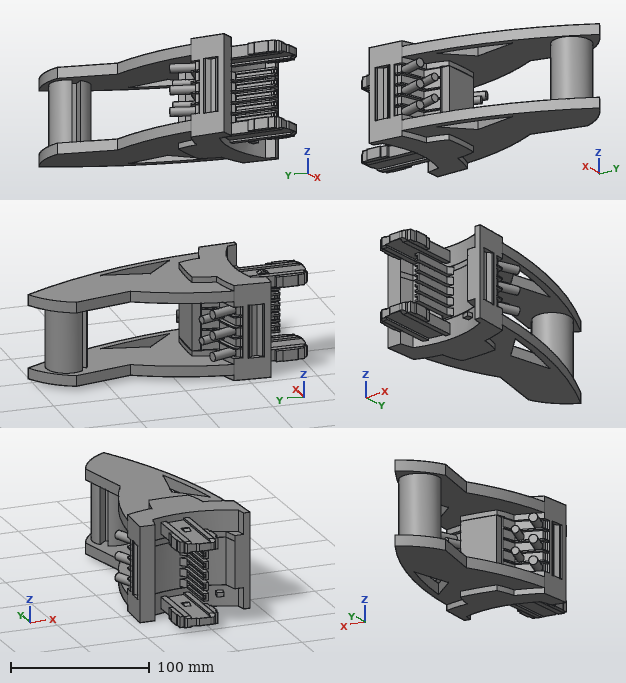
import cadquery as cq
import math


HOUSING_HEIGHT = 73.5
FRONT_HALF_WIDTH = 42.9
SHOULDER_HALF_WIDTH = 41.2
SHOULDER_Y = 27.7
SHOULDER_BULGE = 0.6
BOSS_BASE_X, BOSS_BASE_Y = 19.8, 34.1
BOSS_TOP_X, BOSS_TOP_Y = 15.4, 51.2
BOSS_CROWN_Y = 51.8
BOSS_FLANK_MID = (18.0, 42.9)
MID_BOSS_HALF_WIDTH, MID_BOSS_FLANK_Y, MID_BOSS_TOP_Y = 15.2, 44.5, 51.2

ARCH_CROWN_Y = 16.2
ARCH_EDGE_X, ARCH_EDGE_Y = 28.3, 11.0
ARCH_RISE = ARCH_CROWN_Y - ARCH_EDGE_Y
ARCH_RADIUS = (ARCH_EDGE_X**2 + ARCH_RISE**2) / (2 * ARCH_RISE)
CAVITY_MOUTH_X = 31.0
WIDE_MOUTH_X = 37.9
WIDE_EDGE_X = 36.6
MID_HALF_HEIGHT = 20.4
LINER_TOP = 16.0
LINER_STEP = 0.2

PLATE_THICKNESS = 8.3
PLATE_Z = 28.3
CLAW_TIP = (-2.3, 171.2)
CLAW_NOSE_MID = (-18.0, 158.7)
CLAW_NOSE_END = (-27.9, 143.0)
CLAW_ELBOW = (-18.5, 98.8)
CLAW_BELLY_MID = (-33.0, 64.7)
CLAW_BACK_MID = (28.3, 98.8)
OPENING_TIP, OPENING_SIDE, OPENING_FOOT = (19.0, 109.5), (11.5, 73.9), (32.9, 52.6)
OPENING_BACK_MID = (27.0, 81.8)
PLATE_ROOT_HALF_WIDTH, PLATE_ROOT_Y = 31.2, 20.8

POST_X, POST_Y, POST_DIAMETER = -6.7, 143.7, 30.5
POST_GROOVE_WIDTH, POST_GROOVE_DEPTH = 6.2, 9.8
POST_GROOVE_ANGLE = 45

ROW_PITCH = 8.1
ROWS = range(-2, 3)
SLOT_HEIGHT = 7.0
SLOT_OUTLINE = (
    (-45.8, 20.8), (-40.0, 20.8), (-38.7, 22.0), (-38.7, 25.4),
    (-19.0, 31.6), (-16.6, MID_BOSS_FLANK_Y), (-25, 54), (-45.8, 54),
)
PIN_TILT = 20
OUTER_PIN = dict(diameter=6.7, end=(-41.8, 44.0), length=21.8)
INNER_PIN = dict(diameter=5.8, end=(-29.1, 48.3), length=20.8)
CONTACT_HEIGHT = 5.8
CONTACT_WEB = 1.9
CONTACT_FLANGE = 1.5
CONTACT_LEFT, CONTACT_RIGHT, CONTACT_TIP_Y = -1.5, 2.5, -20.2
FLARE_HALF_WIDTH, FLARE_Y = 5.6, 12.0
FLARE_DEPTH = 3.7
CONTACT_ROOT_Y = 18.7
CONTACT_STOP_LEFT, CONTACT_STOP_Y, CONTACT_STOP_LENGTH = -0.5, -17.5, 1.9

RAIL_HEIGHT, RAIL_Z = 8.7, 28.5
WING_HEIGHT = 8.3
RAIL_LEFT, RAIL_RIGHT = -21.2, 1.9
CHANNEL_LEFT, CHANNEL_RIGHT, CHANNEL_DEPTH = -16.6, -2.3, 1.5
RAIL_TIP_Y, RAIL_ROOT_Y = -36.8, 18.7
RAIL_NOSE = (
    (RAIL_LEFT, -33.7), (-19.8, -35.0), (-13.0, -35.2), (-11.2, -36.5),
    (CHANNEL_RIGHT, RAIL_TIP_Y), (0.2, RAIL_TIP_Y), (RAIL_RIGHT, -35.2),
)
RAIL_TIP_CHAMFER = 1.7
STRIP_END_Y = -32.7
LEFT_WING = dict(edge=RAIL_LEFT, side=-1, front=-31.5, back=-10.0, width=3.0, step=0.6)
RIGHT_WING = dict(edge=RAIL_RIGHT, side=1, front=-32.7, back=-11.2, width=3.0, step=1.2)
WING_STEP_INSET = 5.0
CATCH_X, CATCH_WIDTH, CATCH_HEIGHT = -8.7, 4.8, 1.2
CATCH_PROFILE_Y = (-8.5, -5.0, -3.3, -0.6)

WINDOW_FRONT, WINDOW_BACK, RIM_DEPTH = 5.0, 17.0, 1.7
RIM_WIDTH = 1.2
WINDOW_FLOOR_DEPTH = 4.5

STUB_X, STUB_FRONT_Y, STUB_Z = 22.9, 7.7, -26.2
STUB_WIDTH, STUB_HEIGHT, STUB_LENGTH, STUB_TILT = 5.2, 3.3, 10.5, -12


def slab(sketch, bottom, top):
    """Extrude a closed XY outline between two heights."""
    return sketch.extrude(top - bottom).translate((0, 0, bottom))


def block(x_range, y_range, z_range):
    """Axis-aligned box given by its limits."""
    sizes = [high - low for low, high in (x_range, y_range, z_range)]
    corner = (x_range[0], y_range[0], z_range[0])
    return cq.Workplane("XY").box(*sizes, centered=False).translate(corner)


def both_sides(solid):
    return solid.union(solid.mirror("YZ"))


def arch_y(x, crown_y=ARCH_CROWN_Y):
    """Y of the cavity's arched back at a given X."""
    return crown_y - ARCH_RADIUS + math.sqrt(ARCH_RADIUS**2 - x**2)


def cavity_outline(right_edge, right_mouth, crown_y):
    return (
        cq.Workplane("XY")
        .moveTo(-CAVITY_MOUTH_X, 0)
        .lineTo(-ARCH_EDGE_X, arch_y(ARCH_EDGE_X, crown_y))
        .threePointArc((0, crown_y), (right_edge, arch_y(right_edge, crown_y)))
        .lineTo(right_mouth, 0)
        .close()
    )


def make_housing():
    half_height = HOUSING_HEIGHT / 2
    shoulder_mid = (
        (SHOULDER_HALF_WIDTH + BOSS_BASE_X) / 2,
        (SHOULDER_Y + BOSS_BASE_Y) / 2 + SHOULDER_BULGE,
    )
    outline = (
        cq.Workplane("XY")
        .moveTo(-FRONT_HALF_WIDTH, 0)
        .lineTo(-SHOULDER_HALF_WIDTH, SHOULDER_Y)
        .threePointArc((-shoulder_mid[0], shoulder_mid[1]), (-BOSS_BASE_X, BOSS_BASE_Y))
        .threePointArc((-BOSS_FLANK_MID[0], BOSS_FLANK_MID[1]), (-BOSS_TOP_X, BOSS_TOP_Y))
        .threePointArc((0, BOSS_CROWN_Y), (BOSS_TOP_X, BOSS_TOP_Y))
        .threePointArc(BOSS_FLANK_MID, (BOSS_BASE_X, BOSS_BASE_Y))
        .threePointArc(shoulder_mid, (SHOULDER_HALF_WIDTH, SHOULDER_Y))
        .lineTo(FRONT_HALF_WIDTH, 0)
        .close()
    )
    housing = slab(outline, -half_height, half_height)

    wide = (WIDE_EDGE_X, WIDE_MOUTH_X, ARCH_CROWN_Y)
    narrow = (ARCH_EDGE_X, CAVITY_MOUTH_X, ARCH_CROWN_Y - LINER_STEP)
    lined = (ARCH_EDGE_X, CAVITY_MOUTH_X, ARCH_CROWN_Y - 2 * LINER_STEP)
    housing = housing.cut(slab(cavity_outline(*wide), MID_HALF_HEIGHT, half_height))
    housing = housing.cut(slab(cavity_outline(*wide), -half_height, -MID_HALF_HEIGHT))
    housing = housing.cut(slab(cavity_outline(*narrow), LINER_TOP, MID_HALF_HEIGHT))
    return housing.cut(slab(cavity_outline(*lined), -MID_HALF_HEIGHT, LINER_TOP))


def make_pin_slots():
    """Stepped recesses along the shoulders that leave thin ribs between the pin rows."""
    slots = cq.Workplane("XY")
    for row in ROWS:
        z = row * ROW_PITCH
        outline = cq.Workplane("XY").polyline(SLOT_OUTLINE).close()
        slots = slots.add(slab(outline, z - SLOT_HEIGHT / 2, z + SLOT_HEIGHT / 2))
    return both_sides(slots.combine())


def make_windows():
    """Recess in each outer side: a flat rim, then 45-degree walls down to a flat floor."""
    face_x = -FRONT_HALF_WIDTH
    rim_x = face_x + RIM_DEPTH
    floor_x = face_x + WINDOW_FLOOR_DEPTH
    wall_run = WINDOW_FLOOR_DEPTH - RIM_DEPTH
    front, back = WINDOW_FRONT + RIM_WIDTH, WINDOW_BACK - RIM_WIDTH
    outline = cq.Workplane("XY").polyline([
        (face_x, WINDOW_FRONT), (rim_x, WINDOW_FRONT), (rim_x, front), (floor_x, front + wall_run),
        (floor_x, back - wall_run), (rim_x, back), (rim_x, WINDOW_BACK), (face_x, WINDOW_BACK),
    ]).close()
    return both_sides(slab(outline, -MID_HALF_HEIGHT, MID_HALF_HEIGHT))


def make_boss_trims():
    """Square off the boss between the plates: flat flanks and a slightly lower crown."""
    z_range = (-MID_HALF_HEIGHT, MID_HALF_HEIGHT)
    flank = block((MID_BOSS_HALF_WIDTH, BOSS_BASE_X), (MID_BOSS_FLANK_Y, BOSS_CROWN_Y), z_range)
    crown = block((0, BOSS_BASE_X), (MID_BOSS_TOP_Y, BOSS_CROWN_Y), z_range)
    return both_sides(flank.union(crown))


def make_plate():
    outline = (
        cq.Workplane("XY")
        .moveTo(*CLAW_TIP)
        .threePointArc(CLAW_NOSE_MID, CLAW_NOSE_END)
        .lineTo(*CLAW_ELBOW)
        .threePointArc(CLAW_BELLY_MID, (-SHOULDER_HALF_WIDTH, SHOULDER_Y))
        .lineTo(-PLATE_ROOT_HALF_WIDTH, PLATE_ROOT_Y)
        .lineTo(PLATE_ROOT_HALF_WIDTH, PLATE_ROOT_Y)
        .lineTo(SHOULDER_HALF_WIDTH, SHOULDER_Y)
        .threePointArc(CLAW_BACK_MID, CLAW_TIP)
        .close()
    )
    opening = (
        cq.Workplane("XY")
        .moveTo(*OPENING_TIP)
        .lineTo(*OPENING_SIDE)
        .lineTo(*OPENING_FOOT)
        .threePointArc(OPENING_BACK_MID, OPENING_TIP)
        .close()
    )
    half = PLATE_THICKNESS / 2
    return slab(outline, -half, half).cut(slab(opening, -half, half))


def make_post():
    radius = POST_DIAMETER / 2
    post = cq.Workplane("XY").circle(radius).extrude(2 * PLATE_Z)
    groove = block(
        (-radius, POST_GROOVE_DEPTH - radius),
        (-POST_GROOVE_WIDTH / 2, POST_GROOVE_WIDTH / 2),
        (PLATE_THICKNESS / 2, 2 * PLATE_Z - PLATE_THICKNESS / 2),
    )
    groove = groove.rotate((0, 0, 0), (0, 0, 1), POST_GROOVE_ANGLE)
    return post.cut(groove).translate((POST_X, POST_Y, -PLATE_Z))


def make_pins():
    """Tilted round pins on both sides, alternating outer and inner from row to row."""
    tilt = math.radians(PIN_TILT)
    inward = cq.Vector(math.sin(tilt), -math.cos(tilt), 0)
    pins = cq.Workplane("XY")
    for row in ROWS:
        pin = OUTER_PIN if row % 2 == 0 else INNER_PIN
        end = cq.Vector(*pin["end"], row * ROW_PITCH)
        pins = pins.add(cq.Solid.makeCylinder(pin["diameter"] / 2, pin["length"], end, inward))
    return both_sides(pins.combine())


def make_contact():
    """Channel-shaped blade, open toward -X, with a flared root."""
    half = CONTACT_HEIGHT / 2
    inner = half - CONTACT_FLANGE
    blade = block((CONTACT_LEFT, CONTACT_RIGHT), (CONTACT_TIP_Y, CONTACT_ROOT_Y), (-half, half))
    blade = blade.cut(
        block((CONTACT_LEFT, CONTACT_RIGHT - CONTACT_WEB), (CONTACT_TIP_Y, FLARE_Y), (-inner, inner))
    )
    stop_range = (CONTACT_STOP_Y - CONTACT_STOP_LENGTH / 2, CONTACT_STOP_Y + CONTACT_STOP_LENGTH / 2)
    blade = blade.union(block((CONTACT_STOP_LEFT, CONTACT_RIGHT), stop_range, (-inner, inner)))
    flare = cq.Workplane("XY").polyline([
        (CONTACT_LEFT, FLARE_Y),
        (CONTACT_RIGHT, FLARE_Y),
        (FLARE_HALF_WIDTH, FLARE_Y + FLARE_DEPTH),
        (FLARE_HALF_WIDTH, CONTACT_ROOT_Y),
        (-FLARE_HALF_WIDTH, CONTACT_ROOT_Y),
        (-FLARE_HALF_WIDTH, FLARE_Y + FLARE_DEPTH),
    ]).close()
    return blade.union(slab(flare, -half, half))


def make_wing(edge, side, front, back, width, step):
    """Grip along one rail edge, stepped out once more over its middle."""
    half = WING_HEIGHT / 2
    inner_range = sorted((edge, edge + side * width))
    outer_range = sorted((edge, edge + side * (width + step)))
    wing = block(inner_range, (front, back), (-half, half))
    middle = (front + WING_STEP_INSET, back - WING_STEP_INSET)
    return wing.union(block(outer_range, middle, (-half, half)))


def make_rail():
    half = RAIL_HEIGHT / 2
    outline = cq.Workplane("XY").polyline([
        (RAIL_LEFT, RAIL_ROOT_Y), *RAIL_NOSE, (RAIL_RIGHT, RAIL_ROOT_Y),
    ]).close()
    rail = slab(outline, -half, half)

    floor = half - CHANNEL_DEPTH
    for low, high in ((floor, half), (-half, -floor)):
        rail = rail.cut(block((CHANNEL_LEFT, CHANNEL_RIGHT), (RAIL_TIP_Y, RAIL_ROOT_Y), (low, high)))

    slope = (
        cq.Workplane("YZ")
        .polyline([(STRIP_END_Y, half), (RAIL_TIP_Y, half), (RAIL_TIP_Y, half - RAIL_TIP_CHAMFER)])
        .close()
        .extrude(RAIL_RIGHT - RAIL_LEFT)
        .translate((RAIL_LEFT, 0, 0))
    )
    rail = rail.cut(slope).cut(slope.mirror("XY"))

    rail = rail.union(make_wing(**LEFT_WING)).union(make_wing(**RIGHT_WING))

    front, crest_front, crest_back, back = CATCH_PROFILE_Y
    catch = (
        cq.Workplane("YZ")
        .polyline([
            (front, floor), (crest_front, floor + CATCH_HEIGHT),
            (crest_back, floor + CATCH_HEIGHT), (back, floor),
        ])
        .close()
        .extrude(CATCH_WIDTH)
        .translate((CATCH_X - CATCH_WIDTH / 2, 0, 0))
    )
    return rail.union(catch)


def make_stub():
    stub = cq.Workplane("XY").box(STUB_WIDTH, STUB_LENGTH, STUB_HEIGHT, centered=(True, False, True))
    return stub.rotate((0, 0, 0), (0, 0, 1), STUB_TILT).translate((STUB_X, STUB_FRONT_Y, STUB_Z))


result = make_housing().cut(make_boss_trims()).cut(make_pin_slots()).cut(make_windows())
plate = make_plate()
rail = make_rail()
for side in (-1, 1):
    result = result.union(plate.translate((0, 0, side * PLATE_Z)))
    result = result.union(rail.translate((0, 0, side * RAIL_Z)))
contact = make_contact()
for row in ROWS:
    result = result.union(contact.translate((0, 0, row * ROW_PITCH)))
result = result.union(make_pins()).union(make_post()).union(make_stub())